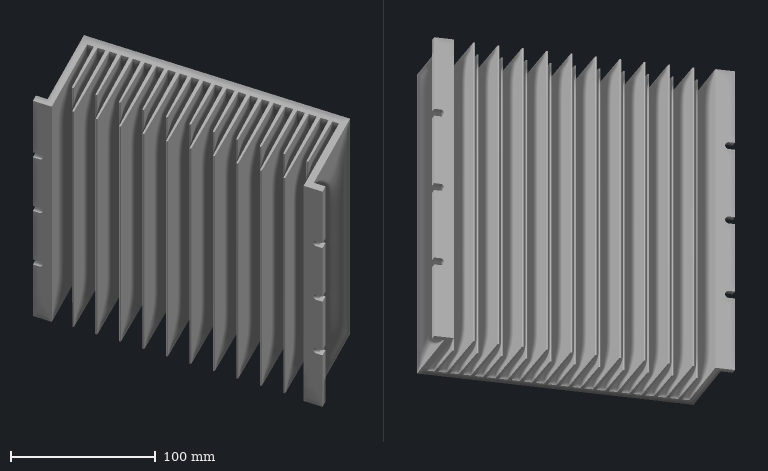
import cadquery as cq

LENGTH = 222.2
FLANGE_SPAN = 217.0
BODY_WIDTH = 199.4
DEPTH = 69.8

BACK_THICKNESS = 7.1
WALL_THICKNESS = 5.3
FLANGE_THICKNESS = 5.3

FIN_COUNT = 21
FIN_SPAN = 175.8
FIN_PITCH = FIN_SPAN / (FIN_COUNT - 1)
FIN_ROOT_WIDTH = 3.0
FIN_TIP_WIDTH = 1.3
SHORT_FIN_HEIGHT = 41.0
LONG_FIN_HEIGHT = 61.3
FIN_EMBED = 1.1

SLOT_WIDTH = 5.1
SLOT_DEPTH = 7.1
SLOT_SPACING = 55.3

HOLE_DIAMETER = 3.1
HOLE_COLUMN_SPACING = 46.2
HOLE_ROW_SPACING = 47.8
HOLE_DEPTH = 17.8

BACK_Y = DEPTH / 2
FRONT_Y = -DEPTH / 2
FIN_ROOT_Y = BACK_Y - BACK_THICKNESS


def make_channel():
    """Back plate, two side walls and two outward flanges."""
    outer = BODY_WIDTH / 2
    inner = outer - WALL_THICKNESS
    edge = FLANGE_SPAN / 2
    flange_back_y = FRONT_Y + FLANGE_THICKNESS
    right_half = [
        (inner, FIN_ROOT_Y),
        (inner, FRONT_Y),
        (edge, FRONT_Y),
        (edge, flange_back_y),
        (outer, flange_back_y),
        (outer, BACK_Y),
    ]
    left_half = [(-x, y) for x, y in reversed(right_half)]
    return (
        cq.Workplane("XY")
        .polyline(right_half + left_half)
        .close()
        .extrude(LENGTH / 2, both=True)
    )


def make_fin(x, height):
    """One fin tapering from the back plate to a semicircular tip towards -Y."""
    root = FIN_ROOT_WIDTH / 2
    tip_radius = FIN_TIP_WIDTH / 2
    tip_y = FIN_ROOT_Y - height
    tip_centre_y = tip_y + tip_radius
    return (
        cq.Workplane("XY")
        .moveTo(x - root, FIN_ROOT_Y + FIN_EMBED)
        .lineTo(x - root, FIN_ROOT_Y)
        .lineTo(x - tip_radius, tip_centre_y)
        .threePointArc((x, tip_y), (x + tip_radius, tip_centre_y))
        .lineTo(x + root, FIN_ROOT_Y)
        .lineTo(x + root, FIN_ROOT_Y + FIN_EMBED)
        .close()
        .extrude(LENGTH / 2, both=True)
    )


def make_slot(side, z):
    """Cutter for one round-ended slot; side is -1 or +1 along X."""
    edge = side * FLANGE_SPAN / 2
    overall_length = 2 * SLOT_DEPTH
    return (
        cq.Workplane("XZ", origin=(0, FRONT_Y, 0))
        .center(edge, z)
        .slot2D(overall_length, SLOT_WIDTH)
        .extrude(-FLANGE_THICKNESS)
    )


def make_back_holes():
    """Cutters for all the blind holes in the back face."""
    return (
        cq.Workplane("XZ", origin=(0, BACK_Y, 0))
        .rarray(HOLE_COLUMN_SPACING, HOLE_ROW_SPACING, 3, 2)
        .circle(HOLE_DIAMETER / 2)
        .extrude(HOLE_DEPTH)
    )


result = make_channel()

for index in range(FIN_COUNT):
    fin_x = (index - (FIN_COUNT - 1) / 2) * FIN_PITCH
    fin_height = SHORT_FIN_HEIGHT if index % 2 == 0 else LONG_FIN_HEIGHT
    result = result.union(make_fin(fin_x, fin_height))

for slot_side in (-1, 1):
    for slot_row in (-1, 0, 1):
        result = result.cut(make_slot(slot_side, slot_row * SLOT_SPACING))

result = result.cut(make_back_holes())